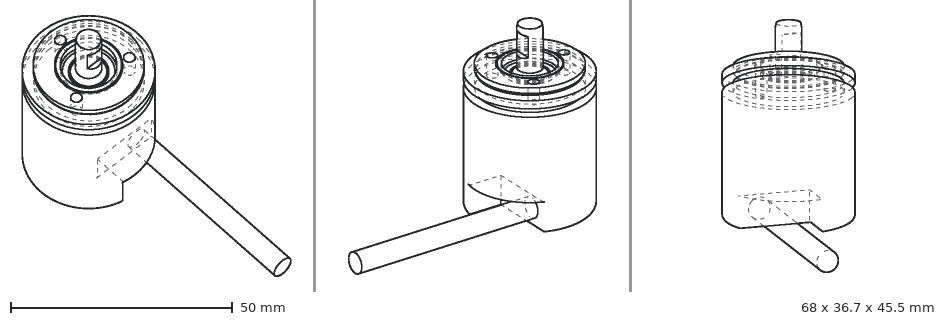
import cadquery as cq
import math

total_height = 45.5
shaft_length = 10.0
rim_top = total_height - shaft_length
flange_top = 33.5
flange_bottom = 31.5
body_top = 29.4

body_diameter = 30.0
body_radius = body_diameter / 2
spigot_radius = 12.5
relief_radius = 12.25
relief_wall_height = 0.2
relief_height = 0.6
bottom_fillet = 0.95

recess_radius = 6.4
recess_wall_depth = 2.0
recess_floor_radius = 5.9
recess_depth = 2.4
clearance_radius = 4.55
clearance_depth = 0.35
seat_depth = recess_depth + clearance_depth

ring_outer_radius = 7.7
ring_inner_radius = 7.4
ring_depth = 0.4

screw_hole_count = 3
screw_hole_radius = 1.3
screw_circle_radius = 9.4
screw_hole_depth = 5.0
drill_tip_height = 0.75
first_screw_angle = 30

shaft_radius = 3.0
shaft_tip_radius = 2.8
shaft_tip_height = 1.0
flare_radius = 4.15
flare_top_depth = 1.0
flat_distance = 2.0
flat_start = 2.05
flat_length = 5.1
flat_end_angle = 25

exit_angle = -30
cable_radius = 2.6
cable_offset = 9.0
cable_height = 4.6
cable_end = 54.55
notch_face = 6.0
notch_side = -2.9
notch_height = 7.9
notch_corner_fillet = 0.3


def facing_exit(shape):
    """Turn a shape modelled along +X so that it faces the cable exit."""
    return shape.rotate((0, 0, 0), (0, 0, 1), exit_angle)


def revolved(points):
    """Revolve a (radius, height) outline about the Z axis."""
    return cq.Workplane("XZ").polyline(points).close().revolve(360, (0, 0, 0), (0, 1, 0))


def housing_blank():
    relief_top = flange_top + relief_height
    outline = [
        (0, 0),
        (body_radius, 0),
        (body_radius, body_top),
        (spigot_radius, body_top),
        (spigot_radius, flange_bottom),
        (body_radius, flange_bottom),
        (body_radius, flange_top),
        (relief_radius, flange_top),
        (relief_radius, flange_top + relief_wall_height),
        (spigot_radius, relief_top),
        (spigot_radius, rim_top),
        (0, rim_top),
    ]
    return revolved(outline)


def shaft_recess():
    return revolved([
        (0, rim_top - seat_depth),
        (clearance_radius, rim_top - seat_depth),
        (clearance_radius, rim_top - recess_depth),
        (recess_floor_radius, rim_top - recess_depth),
        (recess_radius, rim_top - recess_wall_depth),
        (recess_radius, rim_top),
        (0, rim_top),
    ])


def ring_groove():
    return revolved([
        (ring_inner_radius, rim_top),
        (ring_outer_radius, rim_top - ring_depth),
        (ring_outer_radius, rim_top),
    ])


def screw_hole():
    """One blind drilled hole with a conical end, on the axis."""
    hole_end = rim_top - screw_hole_depth
    return revolved([
        (0, hole_end - drill_tip_height),
        (screw_hole_radius, hole_end),
        (screw_hole_radius, rim_top),
        (0, rim_top),
    ])


def cable_notch():
    """Corner cut at the bottom edge, open outwards, where the cable leaves."""
    return facing_exit(
        cq.Workplane("XY")
        .box(body_radius, 2 * body_radius, notch_height, centered=False)
        .translate((notch_face, notch_side, 0))
    )


def notch_corners():
    """Points halfway up the two vertical edges where the notch meets the round outside."""
    along_side = math.sqrt(body_radius**2 - notch_side**2)
    along_face = math.sqrt(body_radius**2 - notch_face**2)
    corners = [(along_side, notch_side), (notch_face, along_face)]
    return [facing_exit(cq.Vertex.makeVertex(x, y, notch_height / 2)) for x, y in corners]


def make_housing():
    housing = housing_blank().cut(cable_notch())
    for corner in notch_corners():
        edge = housing.edges(cq.NearestToPointSelector(corner.toTuple()))
        housing = edge.fillet(notch_corner_fillet)
    housing = housing.faces("<Z").edges().fillet(bottom_fillet)
    housing = housing.cut(shaft_recess()).cut(ring_groove())
    for index in range(screw_hole_count):
        angle = first_screw_angle + index * 360 / screw_hole_count
        hole = screw_hole().translate((screw_circle_radius, 0, 0))
        housing = housing.cut(hole.rotate((0, 0, 0), (0, 0, 1), angle))
    return housing


def flat_cutter():
    """Prism that leaves a flat on the shaft with sloped run-outs at both ends."""
    flat_top = total_height - flat_start
    flat_bottom = flat_top - flat_length
    run = 2 * (shaft_radius - flat_distance)
    rise = run * math.tan(math.radians(flat_end_angle))
    prism = (
        cq.Workplane("XZ")
        .polyline([
            (flat_distance, flat_bottom),
            (flat_distance + run, flat_bottom - rise),
            (flat_distance + run, flat_top + rise),
            (flat_distance, flat_top),
        ])
        .close()
        .extrude(shaft_radius, both=True)
    )
    return facing_exit(prism)


def make_shaft():
    seat = rim_top - seat_depth
    blank = revolved([
        (0, seat),
        (flare_radius, seat),
        (flare_radius, rim_top - recess_depth),
        (shaft_radius, rim_top - flare_top_depth),
        (shaft_radius, total_height - shaft_tip_height),
        (shaft_tip_radius, total_height),
        (0, total_height),
    ])
    return blank.cut(flat_cutter())


def make_cable():
    """Straight round cable that butts against the notch face."""
    cable = (
        cq.Workplane("YZ", origin=(notch_face, 0, 0))
        .center(cable_offset, cable_height)
        .circle(cable_radius)
        .extrude(cable_end - notch_face)
    )
    return facing_exit(cable)


housing = make_housing()
shaft = make_shaft()
cable = make_cable()

result = cq.Compound.makeCompound([housing.val(), shaft.val(), cable.val()])